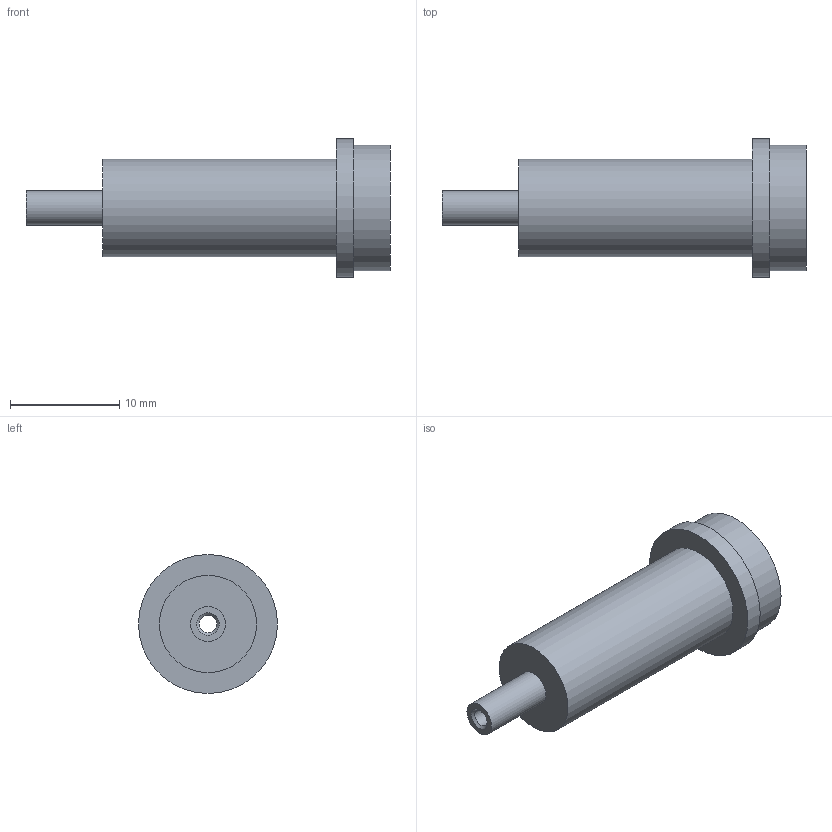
import cadquery as cq

total_length = 33.27
body_length = 21.34
flange_thickness = 1.6
head_length = 3.3
tip_length = total_length - body_length - flange_thickness - head_length

tip_diameter = 3.175
body_diameter = 8.89
flange_diameter = 12.7
head_diameter = 11.5

bore_diameter = 1.59
lead_in_diameter = 2.05
lead_in_depth = (lead_in_diameter - bore_diameter) / 2


def make_stepped_shaft(sections):
    """Stack (diameter, length) cylinders along +X, starting with the tip at X = 0."""
    shaft = cq.Workplane("YZ")
    start = 0
    for diameter, length in sections:
        cylinder = cq.Workplane("YZ", origin=(start, 0, 0)).circle(diameter / 2).extrude(length)
        shaft = shaft.add(cylinder)
        start += length
    return shaft.combine()


def make_bore():
    """Bore along the full length, flared at the tip by the conical lead-in."""
    bore_radius = bore_diameter / 2
    half_profile = (
        cq.Workplane("XY")
        .moveTo(0, 0)
        .lineTo(0, lead_in_diameter / 2)
        .lineTo(lead_in_depth, bore_radius)
        .lineTo(total_length, bore_radius)
        .lineTo(total_length, 0)
        .close()
    )
    return half_profile.revolve(360, (0, 0, 0), (1, 0, 0))


shaft_sections = [
    (tip_diameter, tip_length),
    (body_diameter, body_length),
    (flange_diameter, flange_thickness),
    (head_diameter, head_length),
]

result = make_stepped_shaft(shaft_sections).cut(make_bore())